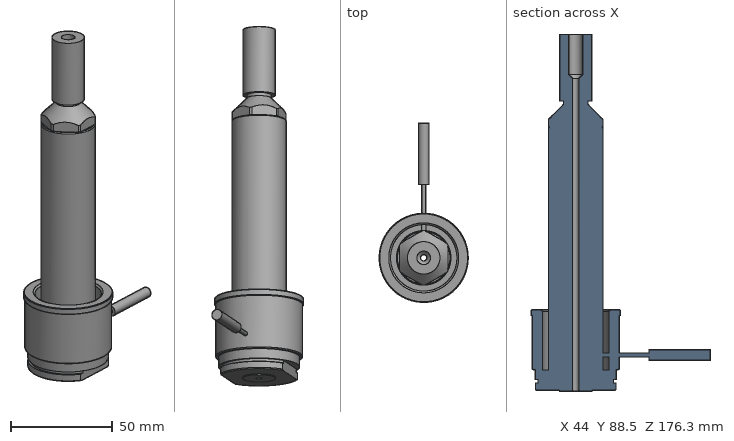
import cadquery as cq
PLATE_BOTTOM_Z = 0.5
PLATE_TOP_Z = 4.2
RING_BOTTOM_Z = 5.8
BODY_BOTTOM_Z = 10.5
CABLE_Z = 18.0
FLANGE_BOTTOM_Z = 37.2
FLANGE_TOP_Z = 40.4
TUBE_TOP_Z = 130.6
NECK_BOTTOM_Z = 141.7
STEM_BOTTOM_Z = 143.3
STEM_TOP_Z = 176.3

FLANGE_DIA = 44.0
BODY_DIA = 43.0
RING_DIA = 40.0
RELIEF_DIA = 37.7
FOOT_DIA = 16.2
CUP_DIA = 32.8
TUBE_DIA = 27.0
NECK_DIA = 12.2
STEM_DIA = 16.0
THREAD_HOLE_DIA = 6.7
BORE_DIA = 3.0

BASE_FLATS_WIDTH = 32.0
HEX_FLATS_WIDTH = 24.0
FLANGE_CHAMFER = 0.4
EDGE_CHAMFER = 0.5
CUP_CHAMFER = 0.9
THREAD_HOLE_DEPTH = 20.0

CABLE_DIA = 2.1
SLEEVE_DIA = 5.3
SLEEVE_START_Y = 36.1
SLEEVE_END_Y = 66.5


def cylinder(diameter, bottom, top):
    """Round section on the Z axis between two heights."""
    return cq.Workplane("XY").workplane(offset=bottom).circle(diameter / 2).extrude(top - bottom)


def make_base():
    """Foot, flatted plate, relief groove and ring below the cup."""
    plate = cylinder(RING_DIA, PLATE_BOTTOM_Z, PLATE_TOP_Z).faces("<Z").chamfer(EDGE_CHAMFER)
    relief = cylinder(RELIEF_DIA, PLATE_TOP_Z, RING_BOTTOM_Z)
    flats = cq.Workplane("XY").rect(BASE_FLATS_WIDTH, RING_DIA).extrude(RING_BOTTOM_Z)
    foot = cylinder(FOOT_DIA, 0, PLATE_BOTTOM_Z)
    ring = cylinder(RING_DIA, RING_BOTTOM_Z, BODY_BOTTOM_Z)
    return plate.union(relief).intersect(flats).union(foot).union(ring)


def make_cup():
    """Open-topped cup with a flange around its rim."""
    body = cylinder(BODY_DIA, BODY_BOTTOM_Z, FLANGE_BOTTOM_Z).faces("<Z").chamfer(EDGE_CHAMFER)
    flange = cylinder(FLANGE_DIA, FLANGE_BOTTOM_Z, FLANGE_TOP_Z).edges().chamfer(FLANGE_CHAMFER)
    cavity = cylinder(CUP_DIA, BODY_BOTTOM_Z, FLANGE_TOP_Z)
    shell = body.union(flange).cut(cavity)
    return shell.faces(">Z").edges(cq.selectors.RadiusNthSelector(0)).chamfer(CUP_CHAMFER)


def make_shaft():
    """Tube, coned hexagon, neck and stem."""
    tube = cylinder(TUBE_DIA, BODY_BOTTOM_Z, TUBE_TOP_Z).faces(">Z").chamfer(EDGE_CHAMFER)
    neck = cylinder(NECK_DIA, NECK_BOTTOM_Z, STEM_BOTTOM_Z)
    stem = cylinder(STEM_DIA, STEM_BOTTOM_Z, STEM_TOP_Z)
    return tube.union(make_hexagon()).union(neck).union(stem)


def make_hexagon():
    """Hexagon with flats facing +X and -X, turned to a 45 degree cone above."""
    cone_height = (TUBE_DIA - NECK_DIA) / 2
    blank = cylinder(TUBE_DIA, TUBE_TOP_Z, NECK_BOTTOM_Z).faces(">Z").chamfer(cone_height)
    hexagon = (
        cq.Workplane("XY")
        .workplane(offset=TUBE_TOP_Z)
        .polygon(6, HEX_FLATS_WIDTH, circumscribed=True)
        .extrude(NECK_BOTTOM_Z - TUBE_TOP_Z)
    )
    return blank.intersect(hexagon)


def make_cable():
    """Thin cable from the shaft axis through the cup wall, ending in a sleeve."""
    start = cq.Workplane("XZ", origin=(0, 0, CABLE_Z))
    cable = start.circle(CABLE_DIA / 2).extrude(-SLEEVE_START_Y)
    sleeve = (
        start.workplane(offset=-SLEEVE_START_Y)
        .circle(SLEEVE_DIA / 2)
        .extrude(SLEEVE_START_Y - SLEEVE_END_Y)
    )
    return cable.union(sleeve)


def make_bore():
    """Bore along the whole axis, opened out at the stem with a 45 degree bottom."""
    step = (THREAD_HOLE_DIA - BORE_DIA) / 2
    cone_top = STEM_TOP_Z - THREAD_HOLE_DEPTH
    return (
        cq.Workplane("XZ")
        .moveTo(0, 0)
        .lineTo(BORE_DIA / 2, 0)
        .lineTo(BORE_DIA / 2, cone_top - step)
        .lineTo(THREAD_HOLE_DIA / 2, cone_top)
        .lineTo(THREAD_HOLE_DIA / 2, STEM_TOP_Z)
        .lineTo(0, STEM_TOP_Z)
        .close()
        .revolve(360, (0, 0, 0), (0, 1, 0))
    )


result = make_base().union(make_cup()).union(make_shaft()).union(make_cable()).cut(make_bore())